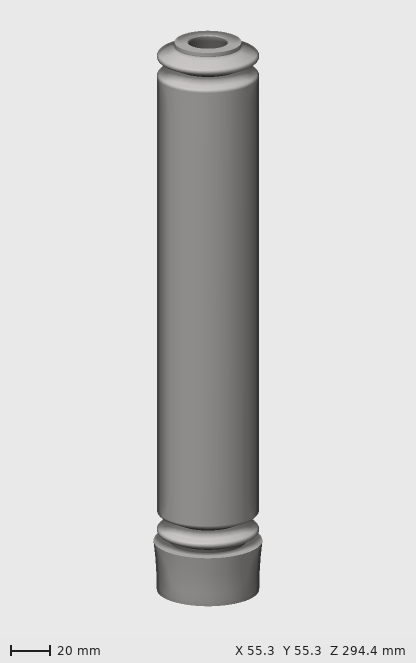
import cadquery as cq
import math

TOTAL_HEIGHT = 294.42
BODY_RADIUS = 52.0 / 2
BORE_RADIUS = 20.0 / 2
BORE_CHAMFER = 0.5
LAND_RADIUS = 34.0 / 2
NECK_RADIUS = 39.0 / 2

BASE_HEIGHT = 26.4
BASE_TOP_RADIUS = 55.3 / 2

LAND_HEIGHT = 2.2
LOWER_GROOVE_Z = 37.6

FLANK_ANGLE = math.radians(25.0)
BODY_ROUND_RADIUS = 2.0
BEAD_ROUND_RADIUS = 1.8


def rim_tangent(round_radius):
    """Radius where a flank meets its rim round, and its axial distance from the round's centre."""
    radius = BODY_RADIUS - round_radius * (1 - math.sin(FLANK_ANGLE))
    offset = round_radius * math.cos(FLANK_ANGLE)
    return radius, offset


def flank_rise(inner_radius, round_radius):
    """Axial distance along a flank from an inner radius out to its rim round."""
    return (rim_tangent(round_radius)[0] - inner_radius) * math.tan(FLANK_ANGLE)


def bead_half_height(inner_radius):
    """Axial distance from a bead's mid-plane to where its flank reaches an inner radius."""
    return rim_tangent(BEAD_ROUND_RADIUS)[1] + flank_rise(inner_radius, BEAD_ROUND_RADIUS)


UPPER_BEAD_Z = TOTAL_HEIGHT - LAND_HEIGHT - bead_half_height(LAND_RADIUS)
UPPER_GROOVE_Z = UPPER_BEAD_Z - bead_half_height(LAND_RADIUS)
LOWER_BEAD_Z = LOWER_GROOVE_Z - bead_half_height(LAND_RADIUS)


def add_bead_rim(profile, mid_z):
    """Continue an upward profile along a flank and around a bead's full rim."""
    radius, offset = rim_tangent(BEAD_ROUND_RADIUS)
    return (
        profile.lineTo(radius, mid_z - offset)
        .threePointArc((BODY_RADIUS, mid_z), (radius, mid_z + offset))
    )


def add_body(profile):
    """Continue an upward profile along the long cylinder, with a rounded shoulder at each end."""
    radius, offset = rim_tangent(BODY_ROUND_RADIUS)
    bottom_z = LOWER_GROOVE_Z + flank_rise(LAND_RADIUS, BODY_ROUND_RADIUS)
    top_z = UPPER_GROOVE_Z - flank_rise(LAND_RADIUS, BODY_ROUND_RADIUS)
    return (
        profile.lineTo(radius, bottom_z)
        .tangentArcPoint((BODY_RADIUS, bottom_z + offset), relative=False)
        .lineTo(BODY_RADIUS, top_z - offset)
        .tangentArcPoint((radius, top_z), relative=False)
    )


def base_arc_middle():
    """Point halfway along the base's hollow flare, which leaves the bottom edge vertically."""
    flare = BASE_TOP_RADIUS - BODY_RADIUS
    arc_radius = (BASE_HEIGHT**2 + flare**2) / (2 * flare)
    half_sweep = math.asin(BASE_HEIGHT / arc_radius) / 2
    return (
        BODY_RADIUS + arc_radius * (1 - math.cos(half_sweep)),
        arc_radius * math.sin(half_sweep),
    )


def make_part():
    """Revolve the half section around Z."""
    neck_top_z = LOWER_BEAD_Z - bead_half_height(NECK_RADIUS)
    profile = (
        cq.Workplane("XZ")
        .moveTo(BORE_RADIUS, 0)
        .lineTo(BODY_RADIUS, 0)
        .threePointArc(base_arc_middle(), (BASE_TOP_RADIUS, BASE_HEIGHT))
        .lineTo(NECK_RADIUS, BASE_HEIGHT)
        .lineTo(NECK_RADIUS, neck_top_z)
    )
    profile = add_bead_rim(profile, LOWER_BEAD_Z).lineTo(LAND_RADIUS, LOWER_GROOVE_Z)
    profile = add_body(profile).lineTo(LAND_RADIUS, UPPER_GROOVE_Z)
    profile = add_bead_rim(profile, UPPER_BEAD_Z).lineTo(LAND_RADIUS, TOTAL_HEIGHT - LAND_HEIGHT)
    profile = (
        profile.lineTo(LAND_RADIUS, TOTAL_HEIGHT)
        .lineTo(BORE_RADIUS + BORE_CHAMFER, TOTAL_HEIGHT)
        .lineTo(BORE_RADIUS, TOTAL_HEIGHT - BORE_CHAMFER)
    )
    return profile.close().revolve(360, (0, 0, 0), (0, 1, 0))


result = make_part()